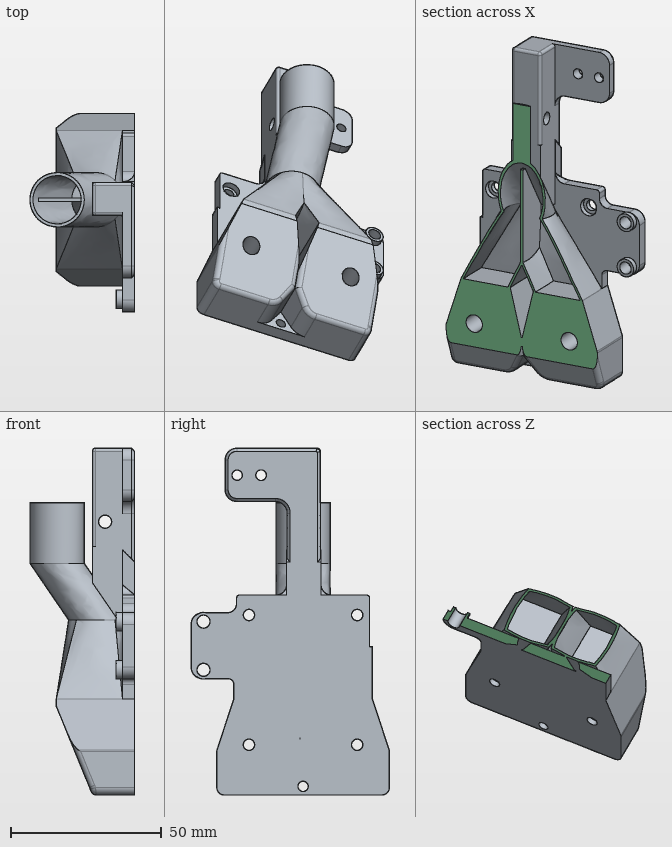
import cadquery as cq
import math

HEIGHT = 115.0
WALL = 1.0

PLATE_T = 4.0
PLATE_TOP = 66.4
PLATE_HALF = 22.1
PLATE_STEP_Z = 49.2
PLATE_STEP_HALF = 23.0
PLATE_CORNER_R = 1.0
EAR_END_Y = -37.1
EAR_TOP = 60.5
EAR_BOTTOM = 38.5
EAR_CORNER_R = 3.9
EAR_TOP_NECK_R = 3.0
EAR_BOTTOM_NECK_R = 1.8
BOSS_Y = -33.0
BOSS_ZS = (41.5, 57.5)
BOSS_DIA = 6.2
BOSS_H = 2.1
BOSS_HOLE_DIA = 4.3

SCREW_HALF_PITCH = 17.9
SCREW_ZS = (16.7, 59.7)
SCREW_DIA = 3.7
SCREW_HEAD_DIA = 6.0
SCREW_SEAT_X = -2.0
BOTTOM_HOLE_Z = 2.9
BOTTOM_HOLE_DIA = 3.3

POST_DEPTH = 14.0
POST_W = 11.0
POST_MID_Y = 0.2
POST_BOTTOM = 58.6
POST_EDGE_R = 1.0
BACK_CHAMFER = 1.0
POST_ROUND_END_Z = 82.5
POST_HOLE_X = -9.8
POST_HOLE_Z = 90.6
POST_HOLE_DIA = 4.3
ARM_END_Y = -25.9
ARM_BOTTOM = 97.3
ARM_CORNER_R = 3.9
ARM_HOLE_Z = 106.0
ARM_HOLES = ((-13.9, 3.5), (-21.8, 3.3))
FOOT_TOP = 81.3
FOOT_EXTRA = 0.2
FOOT_FILLET_R = 3.3

TUBE_DIA = 18.0
TUBE_X = -34.7 + TUBE_DIA / 2
TUBE_TOP = 97.0
ELBOW_TOP = 76.8
ELBOW_BOTTOM = 58.1
ELBOW_X = -12.9
BRANCH_BOTTOM = 31.9
SEPTUM_TOP = 74.1

NOZZLE_DEPTH = 26.0
NOZZLE_LIP_Z = 29.4
NOZZLE_BOTTOM_DEPTH = 13.9
NOZZLE_HALF = 28.6
NOZZLE_OUTER_Y = 23.0
NOZZLE_INNER_Y = 4.3
NOZZLE_OUTER_TAPER_Z = 14.7
NOZZLE_INNER_TAPER_Z = 14.6
NOZZLE_EDGE_R = 1.8
NOZZLE_CORNER_R = 2.5
NOZZLE_RELIEF_Y = 5.3
NOZZLE_RELIEF_Z = 8.4
NOZZLE_RELIEF_R = 5.8


def prism_x(points, depth):
    """Solid with a (Y, Z) outline, from the back face X = 0 to X = -depth."""
    return cq.Workplane("YZ").polyline(points).close().extrude(-depth)


def box(x0, x1, y0, y1, z0, z1):
    return cq.Workplane("XY").box(x1 - x0, y1 - y0, z1 - z0, centered=False).translate((x0, y0, z0))


def rod_x(y, z, dia, x0, x1):
    return cq.Workplane("YZ", origin=(x0, y, z)).circle(dia / 2).extrude(x1 - x0)


def round_corner(body, y, z, radius):
    """Round the edge along X that passes through (Y, Z)."""
    corner = cq.selectors.NearestToPointSelector((-PLATE_T / 2, y, z))
    return body.edges("|X").edges(corner).fillet(radius)


def back_plate():
    body = prism_x(
        [
            (PLATE_STEP_HALF, 0),
            (PLATE_STEP_HALF, PLATE_STEP_Z),
            (PLATE_HALF, PLATE_STEP_Z),
            (PLATE_HALF, PLATE_TOP),
            (-PLATE_HALF, PLATE_TOP),
            (-PLATE_HALF, EAR_TOP),
            (EAR_END_Y, EAR_TOP),
            (EAR_END_Y, EAR_BOTTOM),
            (-PLATE_STEP_HALF, EAR_BOTTOM),
            (-PLATE_STEP_HALF, 0),
        ],
        PLATE_T,
    )
    for y, z, radius in (
        (PLATE_HALF, PLATE_TOP, PLATE_CORNER_R),
        (-PLATE_HALF, PLATE_TOP, PLATE_CORNER_R),
        (-PLATE_HALF, EAR_TOP, EAR_TOP_NECK_R),
        (EAR_END_Y, EAR_TOP, EAR_CORNER_R),
        (EAR_END_Y, EAR_BOTTOM, EAR_CORNER_R),
        (-PLATE_STEP_HALF, EAR_BOTTOM, EAR_BOTTOM_NECK_R),
    ):
        body = round_corner(body, y, z, radius)
    for z in BOSS_ZS:
        body = body.union(rod_x(BOSS_Y, z, BOSS_DIA, -PLATE_T - BOSS_H, -PLATE_T))
    return body


def post():
    left = POST_MID_Y + POST_W / 2
    right = POST_MID_Y - POST_W / 2
    slope_bottom = FOOT_TOP - PLATE_T

    lower = box(-POST_DEPTH, 0, right, left, POST_BOTTOM, slope_bottom)
    middle = box(-POST_DEPTH, -BACK_CHAMFER, right, left, slope_bottom, POST_ROUND_END_Z)
    upper = box(-POST_DEPTH, -BACK_CHAMFER, right, left, POST_ROUND_END_Z, HEIGHT)
    upper = upper.edges("(<X and |Z) or (>Z and (not >X))").fillet(POST_EDGE_R)

    back = prism_x(
        [
            (left, slope_bottom - BACK_CHAMFER),
            (left, HEIGHT - BACK_CHAMFER),
            (left - BACK_CHAMFER, HEIGHT),
            (ARM_END_Y, HEIGHT),
            (ARM_END_Y, ARM_BOTTOM),
            (right, ARM_BOTTOM),
            (right, slope_bottom - BACK_CHAMFER),
        ],
        PLATE_T,
    )
    for y, z in ((ARM_END_Y, HEIGHT), (ARM_END_Y, ARM_BOTTOM), (right, ARM_BOTTOM)):
        back = round_corner(back, y, z, ARM_CORNER_R)
    back = back.faces(">X").edges().chamfer(BACK_CHAMFER)
    return lower.union(middle).union(upper).union(back)


def post_foot():
    """Slightly wider foot with a 45 degree top, and the fillets that join it to the plate."""
    half = POST_W / 2 + FOOT_EXTRA
    foot = (
        cq.Workplane("XZ", origin=(0, POST_MID_Y + half, 0))
        .polyline(
            [
                (0, POST_BOTTOM),
                (0, FOOT_TOP - PLATE_T),
                (-PLATE_T, FOOT_TOP),
                (-PLATE_T, POST_BOTTOM),
            ]
        )
        .close()
        .extrude(2 * half)
    )
    fade = (
        cq.Workplane("XZ", origin=(0, PLATE_HALF, 0))
        .polyline(
            [
                (0, PLATE_TOP),
                (-PLATE_T, PLATE_TOP + FOOT_FILLET_R),
                (-PLATE_T, POST_BOTTOM),
                (0, POST_BOTTOM),
            ]
        )
        .close()
        .extrude(2 * PLATE_HALF)
    )
    for side in (1, -1):
        root = POST_MID_Y + side * half
        tip = root + side * FOOT_FILLET_R
        middle = FOOT_FILLET_R * (1 - math.sqrt(0.5))
        fillet = (
            cq.Workplane("YZ")
            .moveTo(root, PLATE_TOP + FOOT_FILLET_R)
            .threePointArc((root + side * middle, PLATE_TOP + middle), (tip, PLATE_TOP))
            .lineTo(tip, POST_BOTTOM)
            .lineTo(root, POST_BOTTOM)
            .close()
            .extrude(-PLATE_T)
        )
        foot = foot.union(fillet.intersect(fade))
    return foot


def circle_wire(x, z, radius):
    """Horizontal circle in four arcs that meet on its diagonals."""
    points = []
    for eighth in range(9):
        angle = (eighth + 1) * math.pi / 4
        points.append(cq.Vector(x + radius * math.cos(angle), radius * math.sin(angle), z))
    arcs = [cq.Edge.makeThreePointArc(*points[i : i + 3]) for i in range(0, 8, 2)]
    return cq.Wire.assembleEdges(arcs)


def rectangle_wire(x0, x1, y0, y1, z):
    corners = [cq.Vector(x1, y1, z), cq.Vector(x0, y1, z), cq.Vector(x0, y0, z), cq.Vector(x1, y0, z)]
    return cq.Wire.makePolygon(corners, close=True)


def loft(lower, upper):
    return cq.Workplane(obj=cq.Solid.makeLoft([lower, upper], True))


def duct(inset):
    """Tube, elbow and branches, with every wall moved inward by inset."""
    radius = TUBE_DIA / 2 - inset
    body = cq.Workplane("XY", origin=(TUBE_X, 0, ELBOW_TOP)).circle(radius).extrude(TUBE_TOP - ELBOW_TOP)
    elbow = cq.Workplane("XY", origin=(ELBOW_X, 0, ELBOW_BOTTOM)).circle(radius)
    elbow = elbow.workplane(offset=ELBOW_TOP - ELBOW_BOTTOM).center(TUBE_X - ELBOW_X, 0).circle(radius)
    body = body.union(elbow.loft(ruled=True))
    for side in (1, -1):
        y0, y1 = sorted((side * (NOZZLE_INNER_Y + inset), side * (NOZZLE_OUTER_Y - inset)))
        foot = rectangle_wire(-NOZZLE_DEPTH + inset, -PLATE_T - inset, y0, y1, BRANCH_BOTTOM)
        body = body.union(loft(foot, circle_wire(ELBOW_X, ELBOW_BOTTOM, radius)))
    return body


def septum():
    """Thin middle wall that splits the flow between the two branches."""
    return box(-NOZZLE_DEPTH - TUBE_DIA, 0, -WALL / 2, WALL / 2, BRANCH_BOTTOM, SEPTUM_TOP)


def nozzle():
    """Nozzle on the +Y side: a sloped front, rounded edges, then both flanks tapered."""
    outline = prism_x(
        [
            (0, BRANCH_BOTTOM),
            (NOZZLE_HALF, BRANCH_BOTTOM),
            (NOZZLE_HALF, 0),
            (NOZZLE_RELIEF_Y, 0),
            (0, NOZZLE_RELIEF_Z),
        ],
        NOZZLE_DEPTH,
    )
    outline = round_corner(outline, NOZZLE_HALF, 0, NOZZLE_CORNER_R)
    outline = round_corner(outline, NOZZLE_RELIEF_Y, 0, NOZZLE_RELIEF_R)
    profile = (
        cq.Workplane("XZ")
        .polyline(
            [
                (0, 0),
                (-NOZZLE_BOTTOM_DEPTH, 0),
                (-NOZZLE_DEPTH, NOZZLE_LIP_Z),
                (-NOZZLE_DEPTH, BRANCH_BOTTOM),
                (0, BRANCH_BOTTOM),
            ]
        )
        .close()
        .extrude(-NOZZLE_HALF)
    )
    body = outline.intersect(profile)
    slope = cq.Vector(-NOZZLE_LIP_Z, 0, NOZZLE_BOTTOM_DEPTH - NOZZLE_DEPTH)
    front = body.faces(cq.selectors.DirectionMinMaxSelector(slope, True))
    body = front.edges("not (|Y and >Z)").fillet(NOZZLE_EDGE_R)
    flanks = prism_x(
        [
            (0, 0),
            (0, NOZZLE_INNER_TAPER_Z),
            (NOZZLE_INNER_Y, BRANCH_BOTTOM),
            (NOZZLE_OUTER_Y, BRANCH_BOTTOM),
            (NOZZLE_HALF, NOZZLE_OUTER_TAPER_Z),
            (NOZZLE_HALF, 0),
        ],
        NOZZLE_DEPTH,
    )
    flanks = round_corner(flanks, NOZZLE_HALF, NOZZLE_OUTER_TAPER_Z, NOZZLE_EDGE_R)
    return body.intersect(flanks)


def screw_holes():
    holes = rod_x(0, BOTTOM_HOLE_Z, BOTTOM_HOLE_DIA, -NOZZLE_DEPTH, 0)
    for z in SCREW_ZS:
        for y in (SCREW_HALF_PITCH, -SCREW_HALF_PITCH):
            holes = holes.union(rod_x(y, z, SCREW_DIA, -PLATE_T, 0))
            holes = holes.union(rod_x(y, z, SCREW_HEAD_DIA, -NOZZLE_DEPTH, SCREW_SEAT_X))
    for z in BOSS_ZS:
        holes = holes.union(rod_x(BOSS_Y, z, BOSS_HOLE_DIA, -PLATE_T - BOSS_H, 0))
    for y, dia in ARM_HOLES:
        holes = holes.union(rod_x(y, ARM_HOLE_Z, dia, -PLATE_T, 0))
    post_hole = cq.Workplane("XZ", origin=(POST_HOLE_X, POST_W, POST_HOLE_Z)).circle(POST_HOLE_DIA / 2)
    return holes.union(post_hole.extrude(2 * POST_W))


right_nozzle = nozzle()
outside = duct(0)
passage = duct(WALL).cut(septum())
body = back_plate().union(post()).union(post_foot()).union(outside)
body = body.union(right_nozzle).union(right_nozzle.mirror("XZ"))
result = body.cut(passage).cut(screw_holes())